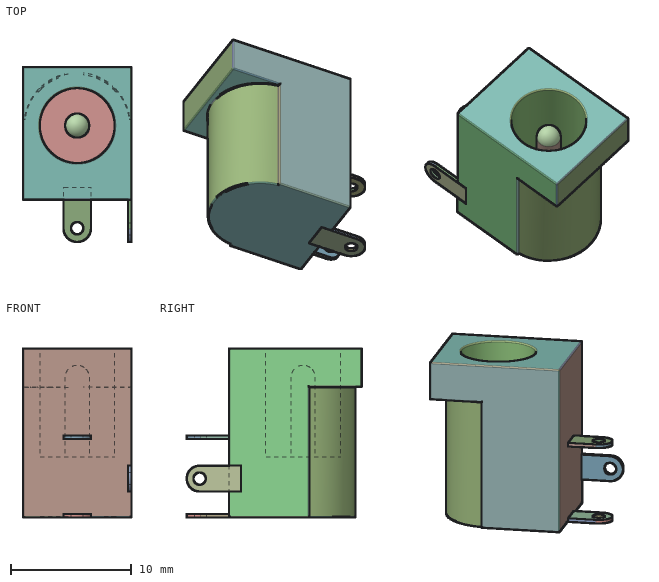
import cadquery as cq
import math

width = 9.0
depth = 11.0
height = 14.0
head_height = 3.2
axis_to_back = 4.86
back_step = 4.35
edge_radius = 0.1

barrel_radius = 4.34
barrel_root_radius = 0.06

socket_diameter = 6.2
socket_depth = 9.0
pin_diameter = 2.0
pin_recess = 1.4

tab_length = 3.5
tab_root = 1.0
tab_thickness = 0.32
tab_hole_diameter = 1.0
tab_proud = 0.01
flat_tab_width = 2.3
side_tab_width = 2.15
upper_tab_bottom = 6.48
side_tab_center_height = 3.22

back_y = axis_to_back
front_y = back_y - depth
ledge_y = back_y - back_step
shoulder_z = height - head_height


def make_block():
    """Inverted-L housing block with rounded outer edges and a sharp corner under the head."""
    profile = (
        cq.Workplane("YZ")
        .moveTo(front_y, 0)
        .lineTo(ledge_y, 0)
        .lineTo(ledge_y, shoulder_z)
        .lineTo(back_y, shoulder_z)
        .lineTo(back_y, height)
        .lineTo(front_y, height)
        .close()
    )
    block = profile.extrude(width / 2, both=True)
    inner_corner = block.edges(cq.selectors.NearestToPointSelector((0, ledge_y, shoulder_z)))
    outer_edges = block.edges().filter(lambda edge: not edge.isSame(inner_corner.val()))
    return outer_edges.fillet(edge_radius)


def make_sharp_corner():
    """Square fill that keeps the front edge sharp below the side tab."""
    fill = cq.Workplane("XY").box(
        edge_radius,
        edge_radius,
        side_tab_center_height - edge_radius,
        centered=False,
    )
    return fill.translate((width / 2 - edge_radius, front_y, edge_radius))


def add_barrel(block):
    barrel = cq.Workplane("XY").circle(barrel_radius).extrude(shoulder_z + edge_radius)
    body = block.union(barrel.faces("<Z").edges().fillet(edge_radius))
    half_span = math.sqrt(barrel_radius**2 - ledge_y**2)
    arc_angle = math.pi + 2 * math.asin(-ledge_y / barrel_radius)
    root_center_y = 2 * barrel_radius * math.sin(arc_angle / 2) / arc_angle
    middle_z = shoulder_z / 2
    root_points = (
        (0, root_center_y, shoulder_z),
        (half_span, ledge_y, middle_z),
        (-half_span, ledge_y, middle_z),
    )
    root = body.newObject([])
    for point in root_points:
        root = root.add(body.edges(cq.selectors.NearestToPointSelector(point)))
    return root.fillet(barrel_root_radius)


def cut_socket(body):
    socket = (
        cq.Workplane("XY")
        .workplane(offset=height - socket_depth)
        .circle(socket_diameter / 2)
        .extrude(socket_depth)
    )
    body = body.cut(socket)
    mouth = cq.selectors.RadiusNthSelector(-1)
    return body.faces(">Z").edges("%CIRCLE").edges(mouth).fillet(edge_radius)


def make_pin():
    radius = pin_diameter / 2
    dome_z = height - pin_recess - radius
    floor_z = height - socket_depth
    shaft = (
        cq.Workplane("XY")
        .workplane(offset=floor_z - edge_radius)
        .circle(radius)
        .extrude(dome_z - floor_z + edge_radius)
    )
    dome = cq.Workplane("XY").sphere(radius).translate((0, 0, dome_z))
    return shaft.union(dome)


def make_tab(tab_width):
    """Flat tab along -Y with a round, drilled end; its lower face is at Z = 0."""
    radius = tab_width / 2
    root_y = front_y + tab_root
    tip_y = front_y - tab_length
    eye_y = tip_y + radius
    return (
        cq.Workplane("XY")
        .moveTo(-radius, root_y)
        .lineTo(-radius, eye_y)
        .threePointArc((0, tip_y), (radius, eye_y))
        .lineTo(radius, root_y)
        .close()
        .extrude(tab_thickness)
        .cut(cq.Workplane("XY").center(0, eye_y).circle(tab_hole_diameter / 2).extrude(tab_thickness))
    )


def make_side_tab():
    outer_x = width / 2 + tab_proud
    upright = make_tab(side_tab_width).rotate((0, 0, 0), (0, 1, 0), 90)
    return upright.translate((outer_x - tab_thickness, 0, side_tab_center_height))


body = add_barrel(make_block()).union(make_sharp_corner())
result = cut_socket(body)
result = result.union(make_pin())
for tab_z in (-tab_proud, upper_tab_bottom):
    result = result.union(make_tab(flat_tab_width).translate((0, 0, tab_z)))
result = result.union(make_side_tab())